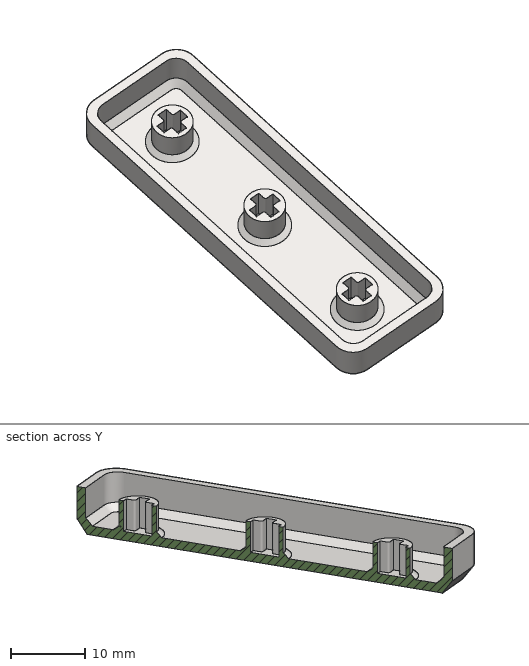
import cadquery as cq

length = 56.15
width = 18.0
height = 6.7
corner_radius = 3.0

bottom_chamfer_inset = 1.5
bottom_chamfer_height = 2.0

wall = 1.35
pocket_corner_radius = 2.0
floor_thickness = 1.35
floor_chamfer = 1.0

post_count = 3
post_spacing = 19.0
post_diameter = 5.6
post_top = 5.7
foot_diameter = 7.25
foot_height = 0.7
cross_length = 4.15
cross_arm_width = 1.45
cross_inner_radius = 0.3


def rounded_block(size_x, size_y, size_z, radius):
    """Block standing on Z = 0 with rounded vertical corners."""
    block = cq.Workplane("XY").box(size_x, size_y, size_z, centered=(True, True, False))
    return block.edges("|Z").fillet(radius)


def make_tray():
    body = rounded_block(length, width, height, corner_radius)
    body = body.faces("<Z").chamfer(bottom_chamfer_height, bottom_chamfer_inset)
    pocket = rounded_block(
        length - 2 * wall,
        width - 2 * wall,
        height - floor_thickness,
        pocket_corner_radius,
    )
    pocket = pocket.faces("<Z").chamfer(floor_chamfer)
    return body.cut(pocket.translate((0, 0, floor_thickness)))


def make_post():
    """Solid post rising from the pocket floor, flared at its foot."""
    post_radius = post_diameter / 2
    foot_radius = foot_diameter / 2
    profile = [
        (0, floor_thickness),
        (foot_radius, floor_thickness),
        (post_radius, floor_thickness + foot_height),
        (post_radius, post_top),
        (0, post_top),
    ]
    return cq.Workplane("XZ").polyline(profile).close().revolve(360, (0, 0), (0, 1))


def make_cross_socket():
    """Cross-shaped cutter reaching from the post top to the pocket floor."""
    socket = (
        cq.Workplane("XY", origin=(0, 0, floor_thickness))
        .rect(cross_length, cross_arm_width)
        .extrude(post_top - floor_thickness)
    )
    cross = socket.union(socket.rotate((0, 0, 0), (0, 0, 1), 90))
    inner_edges = cq.selectors.BoxSelector(
        (-cross_arm_width, -cross_arm_width, 0),
        (cross_arm_width, cross_arm_width, height),
    )
    return cross.edges("|Z").edges(inner_edges).fillet(cross_inner_radius)


result = make_tray()
socketed_post = make_post().cut(make_cross_socket())
for index in range(post_count):
    post_x = (index - (post_count - 1) / 2) * post_spacing
    result = result.union(socketed_post.translate((post_x, 0, 0)))